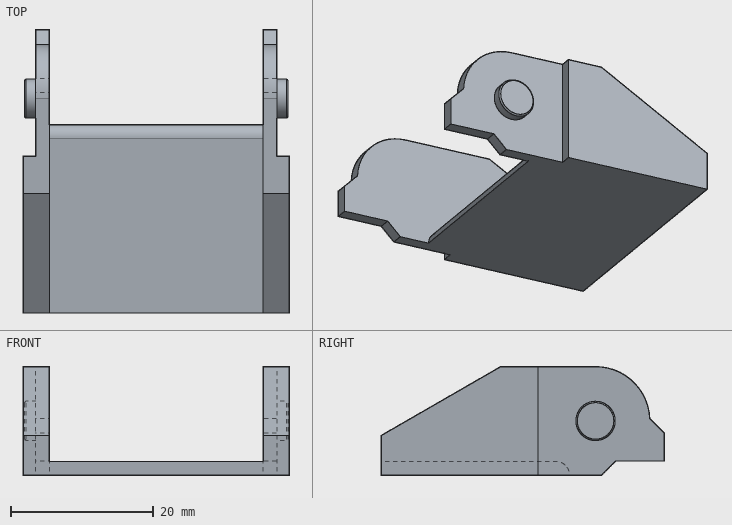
import cadquery as cq
import math

overall_width = 37.5
overall_length = 39.9
overall_height = 15.31

inner_width = 30.1
floor_thickness = 1.95
floor_length = 26.55

thick_wall_length = 22.1
front_height = 5.6
slope_length = 16.85

ear_thickness = 1.95
ear_radius = overall_height / 2
nose_underside = 2.0
nose_top = 5.95
nose_start = 33.05
shoulder_height = 8.0

pin_y = 30.2
pin_z = overall_height - ear_radius
pin_radius = 2.77
pin_span = 37.1
pin_edge_chamfer = 0.2

inner_x = inner_width / 2
outer_x = overall_width / 2
ear_outer_x = inner_x + ear_thickness


def side_plane(x):
    """Workplane at the given X whose local axes are global Y and Z."""
    return cq.Workplane("YZ", origin=(x, 0, 0))


def floor():
    """Plate whose rear top edge is rounded over its full thickness."""
    rounding_start = floor_length - floor_thickness
    rounding_middle = floor_thickness * math.sqrt(0.5)
    return (
        side_plane(-inner_x)
        .lineTo(floor_length, 0)
        .threePointArc(
            (rounding_start + rounding_middle, rounding_middle),
            (rounding_start, floor_thickness),
        )
        .lineTo(0, floor_thickness)
        .close()
        .extrude(inner_width)
    )


def thick_wall():
    """Front part of the +X wall."""
    return (
        side_plane(inner_x)
        .lineTo(thick_wall_length, 0)
        .lineTo(thick_wall_length, overall_height)
        .lineTo(slope_length, overall_height)
        .lineTo(0, front_height)
        .close()
        .extrude(outer_x - inner_x)
    )


def ear():
    """Thin rounded rear part of the +X wall, ending in a blunt nose."""
    shoulder_angle = math.asin((shoulder_height - pin_z) / ear_radius)
    shoulder_y = pin_y + ear_radius * math.cos(shoulder_angle)
    arc_middle_angle = (shoulder_angle + math.pi / 2) / 2
    arc_middle = (
        pin_y + ear_radius * math.cos(arc_middle_angle),
        pin_z + ear_radius * math.sin(arc_middle_angle),
    )
    return (
        side_plane(inner_x)
        .moveTo(thick_wall_length, 0)
        .lineTo(nose_start - nose_underside, 0)
        .lineTo(nose_start, nose_underside)
        .lineTo(overall_length, nose_underside)
        .lineTo(overall_length, nose_top)
        .lineTo(shoulder_y, shoulder_height)
        .threePointArc(arc_middle, (pin_y, overall_height))
        .lineTo(thick_wall_length, overall_height)
        .close()
        .extrude(ear_thickness)
    )


def pin():
    """Hinge pin on the +X ear, with a small chamfer at its free end."""
    return (
        side_plane(ear_outer_x)
        .center(pin_y, pin_z)
        .circle(pin_radius)
        .extrude(pin_span / 2 - ear_outer_x)
        .faces(">X")
        .chamfer(pin_edge_chamfer)
    )


side_wall = thick_wall().union(ear()).union(pin())
result = floor().union(side_wall).union(side_wall.mirror("YZ"))